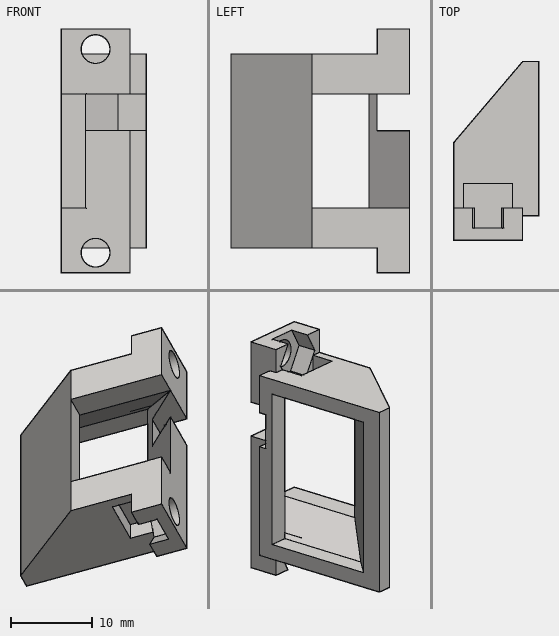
import cadquery as cq
import math

width = 10.5
depth = 22.0
height = 30.0
body_height = 23.88

bar_width = 8.5
bar_depth = 4.0
body_front = 3.0

slope_start = 12.0
back_width = 2.0

window_height = 13.98
lip_thickness = 3.0
flare_run = 5.0
flare_rise = 3.0

gap_bottom = 2.5

hole_diameter = 3.5
hole_x = bar_width / 2
hole_z = 12.5
nut_flats = 5.75
nut_front = 1.5
nut_slot_width = 6.0
nut_slot_length = 3.0


def box(x0, x1, y0, y1, z0, z1):
    """Box given by its limits along each axis."""
    return cq.Workplane("XY").box(x1 - x0, y1 - y0, z1 - z0, centered=False).translate((x0, y0, z0))


def make_body():
    """Wedge-backed body joined to the taller mounting bar."""
    outline = [
        (0, body_front),
        (width, body_front),
        (width, depth),
        (width - back_width, depth),
        (0, slope_start),
    ]
    body = cq.Workplane("XY").polyline(outline).close().extrude(body_height / 2, both=True)
    bar = box(0, bar_width, 0, bar_depth, -height / 2, height / 2)
    return body.union(bar)


def window_section(x, shift, rise):
    """Rectangular window wire at one X position."""
    half = window_height / 2 + rise
    corners = [
        (x, shift, -half),
        (x, slope_start + shift, -half),
        (x, slope_start + shift, half),
        (x, shift, half),
    ]
    return cq.Wire.makePolygon([cq.Vector(*corner) for corner in corners], close=True)


def make_window():
    """Opening through the full thickness, flaring above and below the lip.

    The front wall turns straight after the flare; the back wall keeps its 45 degree slant.
    """
    flare_end = lip_thickness + flare_run
    half = window_height / 2
    lip = box(0, lip_thickness, 0, slope_start, -half, half)
    flare = cq.Solid.makeLoft(
        [window_section(lip_thickness, 0, 0), window_section(flare_end, flare_run, flare_rise)],
        True,
    )
    outer_half = half + flare_rise
    outer_outline = [
        (flare_end, flare_run),
        (width, flare_run),
        (width, slope_start + width - lip_thickness),
        (flare_end, slope_start + flare_run),
    ]
    outer = cq.Workplane("XY").polyline(outer_outline).close().extrude(outer_half, both=True)
    return lip.union(cq.Workplane(flare)).union(outer)


def make_upper_fastener():
    """Screw hole, hexagonal nut seat and the slot behind it, at the upper ear."""
    centre = (hole_x, 0, hole_z)
    hole = cq.Workplane("XZ", origin=centre).circle(hole_diameter / 2).extrude(-bar_depth)
    nut_corners = nut_flats / math.cos(math.pi / 6)
    seat = (
        cq.Workplane("XZ", origin=(hole_x, nut_front, hole_z))
        .polygon(6, nut_corners)
        .extrude(nut_front - bar_depth)
    )
    slot = box(
        hole_x - nut_slot_width / 2,
        hole_x + nut_slot_width / 2,
        bar_depth,
        bar_depth + nut_slot_length,
        hole_z - nut_flats / 2,
        height / 2,
    )
    return hole.union(seat).union(slot)


column_gap = box(lip_thickness, width, 0, bar_depth, gap_bottom, window_height / 2)
upper_fastener = make_upper_fastener()
lower_fastener = upper_fastener.mirror("XY")

result = make_body().cut(make_window()).cut(column_gap).cut(upper_fastener).cut(lower_fastener)